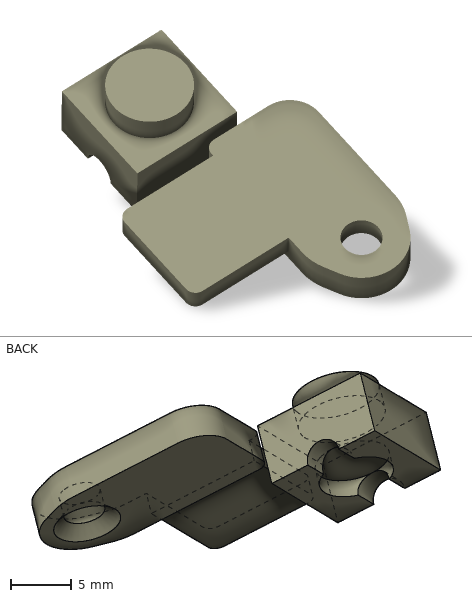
import cadquery as cq
import math

TILT_X = 29.5
TILT_Y = 12.3
TILT_Z = -32.7

BLOCK_SIDE = 10.38
BLOCK_HEIGHT = 5.63
BLOCK_CENTER_X = -10.0
BLOCK_CENTER_Y = -0.68
BLOCK_TOP_Z = -0.65
STUD_DIAMETER = 7.4
STUD_HEIGHT = 2.37
POCKET_DIAMETER = 6.3
GROOVE_DIAMETER = 3.12
POCKET_DEPTH = GROOVE_DIAMETER / 2

PLATE_TOP_Z = 1.63
HEAD_THICKNESS = 2.95
HEAD_LEFT_X = -2.48
HEAD_BOTTOM_Y = -0.7
HEAD_WIDTH = 9.65
HEAD_LARGE_RADIUS = 3.0
HEAD_SMALL_RADIUS = 1.02
TONGUE_THICKNESS = 1.95
TONGUE_LEFT_X = -1.22
TONGUE_WIDTH = 10.38
TONGUE_LENGTH = 9.95
TONGUE_RADIUS = 1.0
HOLE_DIAMETER = 3.5
COUNTERSINK_DIAMETER = 5.7
COUNTERSINK_ANGLE = 90.0
HOLE_X = 12.8

NOSE_RADIUS = 4.07
FLANK_ANGLE = 26.4
FLANK_LENGTH = 1.53


def orient(body):
    """Turn a body from the local frame into its final tilted position."""
    origin = (0, 0, 0)
    return (
        body.rotate(origin, (0, 0, 1), TILT_Z)
        .rotate(origin, (0, 1, 0), TILT_Y)
        .rotate(origin, (1, 0, 0), TILT_X)
    )


def make_block():
    """Square block: stud on top, round pocket and through groove underneath."""
    top = cq.Workplane(origin=(BLOCK_CENTER_X, BLOCK_CENTER_Y, BLOCK_TOP_Z))
    base = top.workplane(offset=-BLOCK_HEIGHT)
    body = base.rect(BLOCK_SIDE, BLOCK_SIDE).extrude(BLOCK_HEIGHT)
    stud = top.circle(STUD_DIAMETER / 2).extrude(STUD_HEIGHT)
    pocket = base.circle(POCKET_DIAMETER / 2).extrude(POCKET_DEPTH)
    groove = (
        cq.Workplane("XZ", origin=(BLOCK_CENTER_X, BLOCK_CENTER_Y, BLOCK_TOP_Z - BLOCK_HEIGHT))
        .circle(GROOVE_DIAMETER / 2)
        .extrude(BLOCK_SIDE / 2, both=True)
    )
    return body.union(stud).cut(pocket).cut(groove)


def make_head():
    """Head outline, symmetric about the hole except for its two left corners."""
    center_y = HEAD_BOTTOM_Y + HEAD_WIDTH / 2
    half_width = HEAD_WIDTH / 2
    angle = math.radians(FLANK_ANGLE)

    end_x = NOSE_RADIUS * math.sin(angle)
    end_y = NOSE_RADIUS * math.cos(angle)
    flank_x = end_x - FLANK_LENGTH * math.cos(angle)
    flank_y = end_y + FLANK_LENGTH * math.sin(angle)
    shoulder_radius = (half_width - flank_y) / (1 - math.cos(angle))
    shoulder_x = flank_x - shoulder_radius * math.sin(angle)
    shoulder_mid_x = shoulder_x + shoulder_radius * math.sin(angle / 2)
    shoulder_mid_y = half_width - shoulder_radius * (1 - math.cos(angle / 2))

    left = HEAD_LEFT_X - HOLE_X
    head = (
        cq.Workplane(origin=(HOLE_X, center_y, PLATE_TOP_Z - HEAD_THICKNESS))
        .moveTo(left, -half_width)
        .lineTo(shoulder_x, -half_width)
        .threePointArc((shoulder_mid_x, -shoulder_mid_y), (flank_x, -flank_y))
        .lineTo(end_x, -end_y)
        .threePointArc((NOSE_RADIUS, 0), (end_x, end_y))
        .lineTo(flank_x, flank_y)
        .threePointArc((shoulder_mid_x, shoulder_mid_y), (shoulder_x, half_width))
        .lineTo(left, half_width)
        .close()
        .extrude(HEAD_THICKNESS)
    )
    head = head.edges("(|Z and <X) and >Y").fillet(HEAD_LARGE_RADIUS)
    head = head.edges("|Z and <X and <Y").fillet(HEAD_SMALL_RADIUS)
    underside = head.faces("<Z").workplane(origin=(HOLE_X, center_y, 0))
    return underside.cskHole(HOLE_DIAMETER, COUNTERSINK_DIAMETER, COUNTERSINK_ANGLE)


def make_tongue():
    """Thin tongue with two rounded free corners, running into the head."""
    overlap = HEAD_WIDTH / 2
    return (
        cq.Workplane(origin=(TONGUE_LEFT_X, HEAD_BOTTOM_Y - TONGUE_LENGTH, PLATE_TOP_Z - TONGUE_THICKNESS))
        .rect(TONGUE_WIDTH, TONGUE_LENGTH + overlap, centered=False)
        .extrude(TONGUE_THICKNESS)
        .edges("|Z and <Y")
        .fillet(TONGUE_RADIUS)
    )


def make_plate():
    return make_head().union(make_tongue())


block = orient(make_block())
plate = orient(make_plate())

result = cq.Compound.makeCompound([block.val(), plate.val()])